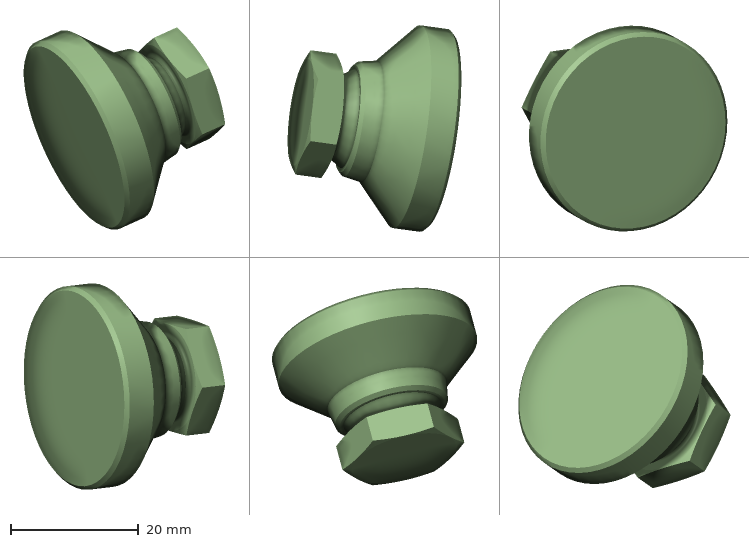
import cadquery as cq
import math

total_length = 22.0
edge_chamfer = 0.6

base_radius = 16.0
rim_height = 5.0
cone_top = 11.0

collar_lower_radius = 9.6
collar_upper_radius = 9.1
collar_top = 14.45

neck_radius = 6.62
neck_cone_top = 16.4
neck_cone_angle = 32.0
neck_fillet = 0.5

hex_across_flats = 17.0
hex_height = 4.9
hex_face_radius = 8.4
hex_chamfer_angle = 15.0

hex_bottom = total_length - hex_height


def make_body():
    """Revolve the base, collar and neck about the Y axis."""
    neck_taper = (neck_cone_top - collar_top) * math.tan(math.radians(neck_cone_angle))
    fillet_start = hex_bottom - neck_fillet
    arc_inset = neck_fillet * (1 - math.sqrt(0.5))
    fillet_middle = (neck_radius + arc_inset, hex_bottom - arc_inset)
    profile = (
        cq.Workplane("XY")
        .moveTo(0, 0)
        .lineTo(base_radius - edge_chamfer, 0)
        .lineTo(base_radius, edge_chamfer)
        .lineTo(base_radius, rim_height)
        .lineTo(collar_lower_radius, cone_top)
        .lineTo(collar_upper_radius, collar_top - edge_chamfer)
        .lineTo(collar_upper_radius - edge_chamfer, collar_top)
        .lineTo(neck_radius + neck_taper, collar_top)
        .lineTo(neck_radius, neck_cone_top)
        .lineTo(neck_radius, fillet_start)
        .threePointArc(fillet_middle, (neck_radius + neck_fillet, hex_bottom))
        .lineTo(0, hex_bottom)
        .close()
    )
    return profile.revolve(360, (0, 0, 0), (0, 1, 0))


def make_hexagon():
    """Extrude the hexagon, corners on X, and trim its corners with a double cone."""
    corner_diameter = hex_across_flats / math.cos(math.radians(30))
    corner_radius = corner_diameter / 2
    trim_height = (corner_radius - hex_face_radius) * math.tan(math.radians(hex_chamfer_angle))
    prism = (
        cq.Workplane("XZ", origin=(0, hex_bottom, 0))
        .polygon(6, corner_diameter)
        .extrude(-hex_height)
    )
    envelope = (
        cq.Workplane("XY")
        .moveTo(0, hex_bottom)
        .lineTo(hex_face_radius, hex_bottom)
        .lineTo(corner_radius, hex_bottom + trim_height)
        .lineTo(corner_radius, total_length - trim_height)
        .lineTo(hex_face_radius, total_length)
        .lineTo(0, total_length)
        .close()
        .revolve(360, (0, 0, 0), (0, 1, 0))
    )
    return prism.intersect(envelope)


result = make_body().union(make_hexagon())